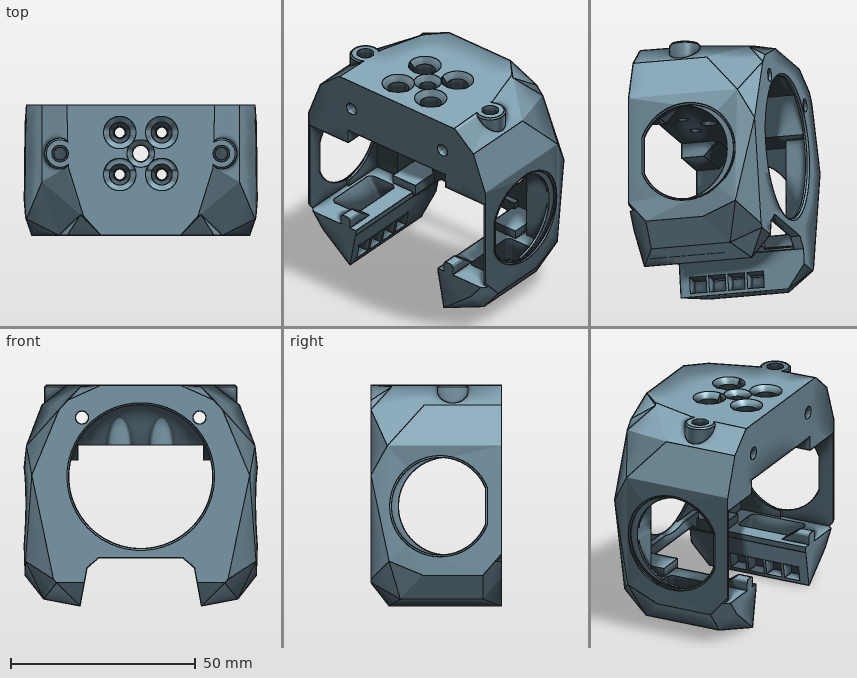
import cadquery as cq

depth = 35.4
height = 59.8
front_wall = 1.0
sole_x = 16.4
open_end = 6.3

foot_back = 30.3
corner = {
    "axis_top_front": (0, 0, height),
    "axis_top_back": (0, depth, height),
    "axis_low_front": (0, 0, 6.3),
    "axis_base_front": (0, 4.9, 0),
    "axis_base_back": (0, depth, 0),
    "top_front": (10.75, 0, height),
    "top_bend": (15.5, 5.2, height),
    "top_side": (19.6, 18.3, height),
    "top_back": (20.0, depth, height),
    "lip_bend": (16.3, 5.6, 59.4),
    "lip_side": (20.4, 18.2, 59.4),
    "lip_back": (20.85, depth, 59.4),
    "face_upper": (19.9, 0, 55.7),
    "face_shoulder": (22.1, 0, 53.2),
    "face_waist": (29.5, 0, 35.45),
    "face_lower": (23.6, 0, 7.25),
    "face_base": (22.8, 0, 6.3),
    "shoulder_front": (26.8, 14.4, 54.4),
    "shoulder_back": (26.8, depth, 54.4),
    "side_top_front": (30.95, 4.4, 43.4),
    "side_top_back": (30.95, depth, 43.4),
    "side_peak_top": (31.6, 9.8, 37.6),
    "side_peak_low": (31.6, 9.8, 16.4),
    "side_low_front": (31.2, 4.9, 12.1),
    "hip_front": (31.35, 14.1, 8.35),
    "hip_back": (31.35, foot_back, 8.35),
    "hip_rear_end": (30.95, depth, 14.1),
    "heel_front": (26.3, 7.95, 1.9),
    "heel_back": (26.3, foot_back, 1.9),
    "heel_rear_end": (25.9, depth, 7.65),
    "sole_front": (sole_x, 4.9, 0),
    "sole_back": (sole_x, depth, 0),
}
facets = [
    ("axis_top_front", "top_front", "top_bend", "top_side", "top_back", "axis_top_back"),
    ("top_front", "face_upper", "lip_bend", "top_bend"),
    ("top_bend", "lip_bend", "lip_side", "top_side"),
    ("top_side", "lip_side", "lip_back", "top_back"),
    ("lip_bend", "face_upper", "face_shoulder", "shoulder_front"),
    ("lip_bend", "shoulder_front", "lip_side"),
    ("lip_side", "shoulder_front", "shoulder_back", "lip_back"),
    ("shoulder_front", "face_shoulder", "side_top_front"),
    ("face_shoulder", "face_waist", "side_top_front"),
    ("shoulder_front", "side_top_front", "side_top_back", "shoulder_back"),
    ("side_top_front", "face_waist", "side_low_front"),
    ("face_waist", "face_lower", "side_low_front"),
    ("side_peak_top", "side_top_front", "side_low_front", "side_peak_low"),
    ("side_peak_top", "side_top_back", "side_top_front"),
    ("side_peak_top", "side_peak_low", "hip_rear_end", "side_top_back"),
    ("side_peak_low", "side_low_front", "hip_front"),
    ("side_peak_low", "hip_front", "hip_back", "hip_rear_end"),
    ("side_low_front", "heel_front", "hip_front"),
    ("side_low_front", "face_lower", "heel_front"),
    ("face_lower", "face_base", "heel_front"),
    ("hip_front", "heel_front", "heel_back", "hip_back"),
    ("hip_back", "heel_back", "heel_rear_end", "hip_rear_end"),
    ("heel_back", "sole_back", "heel_rear_end"),
    ("heel_front", "sole_front", "sole_back", "heel_back"),
    ("face_base", "sole_front", "heel_front"),
    ("face_base", "axis_low_front", "axis_base_front", "sole_front"),
    ("sole_front", "axis_base_front", "axis_base_back", "sole_back"),
    ("axis_low_front", "face_base", "face_lower", "face_waist", "face_shoulder", "face_upper",
     "top_front", "axis_top_front"),
    ("axis_top_back", "top_back", "lip_back", "shoulder_back", "side_top_back", "hip_rear_end",
     "heel_rear_end", "sole_back", "axis_base_back"),
    ("axis_top_front", "axis_top_back", "axis_base_back", "axis_base_front", "axis_low_front"),
]

lens_sill_y = 2.65
sill_top_z = 16.25
lens_z = 35.05
lens_diameter = 39.0
lens_chamfer = 0.5
face_hole_diameter = 3.5
face_hole_x = 15.9
face_hole_z = 51.05
gap_outline = [(11.4, 13.1), (14.5, 10.35), (sole_x, 0)]

floor_z = 12.0
ceiling_z = 43.6
cavity_top = 54.95
roof_bay_half = 18.3
front_bay_half = 22.6
front_bay_depth = 7.6
rear_bay_half = 30.45
lip_thickness = 0.75
lip_back_y = 19.7
ramp_top_y = 12.0
ramp_low_y = 16.75
ledge_half_gap = 17.05
ledge_z = 39.55
ledge_y = 29.05
ledge_ramp_y = 25.25

window_radius = 13.2
window_rim = 0.5
window_y = 18.75
window_inner_y = 20.65
window_z = 27.05
window_flat_y = 31.0
window_rim_x = 30.9

screw_y = 22.2
screw_pitch_half = 5.7
screw_hole = 2.9
screw_bore = 5.7
screw_sink = 8.8
screw_floor_z = 53.05
screw_front_y = screw_y - screw_pitch_half
tube_top_z = cavity_top
tube_blend = 1.25
edge_margin = 0.05
half_sink_y = 17.7
well_depth = 2.5
screw_seat = 3.4
centre_hole = 4.4
centre_sink = 7.45
ear_x = 21.85
ear_radius = 4.2
ear_chamfer = 0.45
ear_base_z = 53.05
ear_hole = 3.4
ear_bore = 4.5
ear_bore_depth = 5.05
ear_hole_depth = 6.3

foot_inner_x = 14.4
tray_x = (19.6, 28.75)
tab_x = (sole_x, tray_x[0])
tab_top_z = 15.15
tab_round = 0.95
tab_front_y = 31.6
tab_ramp_y = 27.15
stop_x = (13.6, 21.5)
stop_z = (11.05, 14.4)
stop_back_y = 10.9
tray_low_x = 24.0
slot_first_y = 11.7
tray_y = (slot_first_y, 28.4)
tray_depth = 6.95
tray_corner = 1.6
slot_count = 4
slot_pitch = 5.45
slot_width = 4.7
slot_z = (0.95, 5.3)
slot_end_x = 20.2


def box(x, y, z):
    """Box given by its (low, high) limits along each axis."""
    size = (x[1] - x[0], y[1] - y[0], z[1] - z[0])
    return cq.Workplane("XY").box(*size, centered=False).translate((x[0], y[0], z[0]))


def both_sides(right):
    """A right-hand feature together with its mirror image."""
    return right.union(right.mirror("YZ"))


def prism_y(outline, start, end):
    """Closed XZ outline extruded along Y."""
    return cq.Workplane("XZ", origin=(0, start, 0)).polyline(outline).close().extrude(start - end)


def prism_x(outline, start, end):
    """Closed YZ outline extruded along X."""
    return cq.Workplane("YZ", origin=(start, 0, 0)).polyline(outline).close().extrude(end - start)


def cylinder_z(x, y, z, radius, length):
    return cq.Workplane("XY", origin=(x, y, z)).circle(radius).extrude(length)


def cone_z(x, y, z, top_diameter, low_diameter):
    """45 degree countersink going down from height z."""
    drop = (top_diameter - low_diameter) / 2
    sink = cq.Solid.makeCone(top_diameter / 2, low_diameter / 2, drop, dir=cq.Vector(0, 0, -1))
    return cq.Workplane(sink.translate(cq.Vector(x, y, z)))


def shell():
    """Faceted body; each facet is split into triangles from its first corner."""
    triangles = []
    for names in facets:
        points = [cq.Vector(*corner[name]) for name in names]
        for second, third in zip(points[1:], points[2:]):
            edge_loop = cq.Wire.makePolygon([points[0], second, third], close=True)
            triangles.append(cq.Face.makeFromWires(edge_loop))
    half = cq.Solid.makeSolid(cq.Shell.makeShell(triangles))
    return both_sides(cq.Workplane(half.fix())).clean()


def cavity():
    """Inner space, open at the back, with a roof that slopes up towards the front wall."""
    front_bay = box((-front_bay_half, front_bay_half), (front_wall, front_bay_depth), (floor_z, ceiling_z))
    rear_bay = box((-rear_bay_half, rear_bay_half), (front_bay_depth, depth + open_end), (floor_z, ceiling_z))
    ramp = [
        (front_wall, ceiling_z),
        (front_wall, cavity_top),
        (ramp_top_y, cavity_top),
        (ramp_low_y, ceiling_z),
    ]
    roof_bay = prism_x(ramp, -roof_bay_half, roof_bay_half)
    ledge_side = [(ledge_ramp_y, ceiling_z), (ledge_y, ledge_z), (depth, ledge_z), (depth, ceiling_z)]
    ledge = prism_x(ledge_side, ledge_half_gap, rear_bay_half)
    lip_x = (rear_bay_half - lip_thickness, rear_bay_half)
    lip = box(lip_x, (front_bay_depth, lip_back_y), (floor_z, ceiling_z))
    foot_gap = box((-foot_inner_x, foot_inner_x), (lens_sill_y, depth + open_end), (0, floor_z))
    bays = front_bay.union(rear_bay).union(roof_bay).cut(both_sides(ledge.union(lip)))
    sill = box((-foot_inner_x, foot_inner_x), (0, lens_sill_y), (0, sill_top_z))
    return bays.union(foot_gap).cut(sill)


def window():
    """Chamfered round opening with a flat back edge; the front corner is bored from further back."""

    def bore(y, start, end, radius):
        return cq.Workplane("YZ", origin=(start, y, window_z)).circle(radius).extrude(end - start)

    hole = bore(window_y, rear_bay_half, window_rim_x, window_radius)
    hole = hole.union(bore(window_inner_y, foot_inner_x, rear_bay_half, window_radius))
    hole = hole.intersect(box((0, window_rim_x), (0, window_flat_y), (0, height)))
    rim = bore(window_y, window_rim_x, window_rim_x + open_end, window_radius + window_rim)
    rim_keep = box((0, window_rim_x + open_end), (0, window_flat_y + window_rim), (0, height))
    return hole.union(rim.intersect(rim_keep))


def lens_opening():
    radius = lens_diameter / 2
    hole = cq.Workplane("XZ", origin=(0, 0, lens_z)).circle(radius).extrude(-front_bay_depth)
    rim = cq.Solid.makeCone(radius + lens_chamfer, radius, lens_chamfer, dir=cq.Vector(0, 1, 0))
    return hole.union(cq.Workplane(rim.translate(cq.Vector(0, 0, lens_z))))


def screw_hole_cut(x, y):
    """Deep counterbored screw hole; the front pair are coned in front and flat-floored behind."""
    through = cylinder_z(x, y, ceiling_z - open_end, screw_hole / 2, height)
    bore = cylinder_z(x, y, screw_floor_z, screw_bore / 2, height)
    seat = cone_z(x, y, screw_floor_z, screw_bore, screw_seat)
    sink = cone_z(x, y, height, screw_sink, screw_bore)
    if y < screw_y:
        front_half = box((x - screw_sink, x + screw_sink), (0, half_sink_y), (0, height))
        well = cylinder_z(x, y, height - well_depth, screw_sink / 2, well_depth)
        sink = sink.intersect(front_half).union(well.cut(front_half))
    return through.union(bore).union(seat).union(sink)


def ear():
    post = cylinder_z(ear_x, screw_y, ear_base_z, ear_radius, height - ear_base_z)
    return post.faces(">Z").chamfer(ear_chamfer)


def ear_hole_cut():
    bore = cylinder_z(ear_x, screw_y, height - ear_bore_depth, ear_bore / 2, ear_bore_depth)
    hole = cylinder_z(ear_x, screw_y, height - ear_hole_depth, ear_hole / 2, ear_hole_depth)
    return bore.union(hole)


def foot_tabs():
    """Ramped tab at the back of a foot and the stop block at its front."""
    wedge = [(tab_ramp_y, floor_z), (tab_front_y, tab_top_z), (depth, tab_top_z), (depth, floor_z)]
    rear_tab = prism_x(wedge, *tab_x).faces(">Z").edges("|Y").fillet(tab_round)
    front_stop = box(stop_x, (front_wall, stop_back_y), stop_z)
    return rear_tab.union(front_stop)


def foot_pockets():
    """Tray in the top of a foot and the row of slots that opens into it from the leg gap."""
    tray_low_z = floor_z - tray_depth
    section = [
        (tray_x[0], tray_low_z),
        (tray_low_x, tray_low_z),
        (tray_x[1], floor_z),
        (tray_x[0], floor_z),
    ]
    tray = prism_y(section, *tray_y).edges("not(|X or |Y)").fillet(tray_corner)
    for index in range(slot_count):
        start = slot_first_y + index * slot_pitch
        tray = tray.union(box((gap_outline[0][0], slot_end_x), (start, start + slot_width), slot_z))
    return tray


body = shell().cut(cavity())

for side in (-1, 1):
    tube_x = side * screw_pitch_half
    tube = cylinder_z(tube_x, screw_front_y, ceiling_z, screw_bore / 2, tube_top_z - ceiling_z)
    body = body.union(tube)
    low_limit = (tube_x - screw_bore, 0, ceiling_z + edge_margin)
    high_limit = (tube_x + screw_bore, screw_front_y, cavity_top)
    body = body.edges(cq.selectors.BoxSelector(low_limit, high_limit)).fillet(tube_blend)

body = body.union(both_sides(ear())).union(both_sides(foot_tabs()).intersect(shell()))

right_gap = gap_outline + [(sole_x, -open_end)]
left_gap = [(-x, z) for x, z in reversed(right_gap)]
body = body.cut(prism_y(right_gap + left_gap, -open_end, depth + open_end)).cut(lens_opening())
for side in (-1, 1):
    face_hole = cq.Workplane("XZ", origin=(side * face_hole_x, 0, face_hole_z)).circle(face_hole_diameter / 2)
    body = body.cut(face_hole.extrude(-depth))

body = body.cut(both_sides(window())).cut(both_sides(foot_pockets())).cut(both_sides(ear_hole_cut()))

for side in (-1, 1):
    for row in (-1, 1):
        body = body.cut(screw_hole_cut(side * screw_pitch_half, screw_y + row * screw_pitch_half))
centre = cylinder_z(0, screw_y, ceiling_z - open_end, centre_hole / 2, height)
result = body.cut(centre).cut(cone_z(0, screw_y, height, centre_sink, centre_hole))